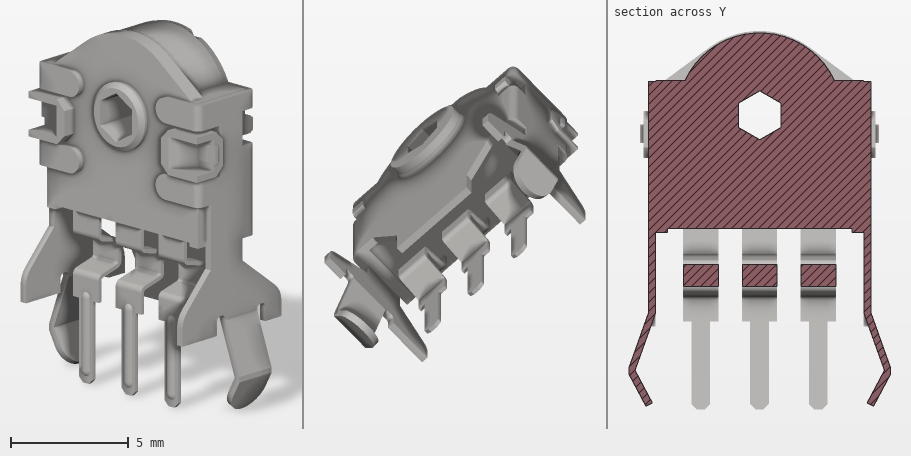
import cadquery as cq
import math


HEIGHT = 16.1
TOP_Z = 3.57
BOTTOM_Z = TOP_Z - HEIGHT

SHEET = 0.32
COVER_HALF_X = 4.73
COVER_INNER_X = COVER_HALF_X - SHEET
COVER_TOP_Z = 1.45
COVER_BOTTOM_Z = -4.99
COVER_BACK_Y = 3.22
BEND_RADIUS = 0.32
BACK_DOME_RADIUS = 3.46
DOME_NOTCH_X = (0.98, 1.15, 1.61)
TONGUE_ROOT_HALF_X = 3.41
TONGUE_HALF_X = 2.01
TONGUE_TAPER_HEIGHT = 2.42

WING_HEIGHT = 1.13
WING_END_X = 2.24
LOWER_WING_TOP_Z = -1.95
WINDOW_BACK_Y = 1.06
LOWER_SIDE_FRONT_Y = 0.45

FOOT_BOTTOM_Z = -8.98
FOOT_FRONT_Y = -1.29
FOOT_BACK_Y = 4.81
FOOT_CORNER_Z = -7.8
FOOT_CORNER_RADIUS = 1.0
WAIST_BACK_Y = 2.42
WAIST_BOTTOM_Z = -5.97
SLOT_TOP_Z = -8.15
SLOT_WIDTH = 0.5
SLOT_CORNER_RADIUS = 0.2
LEG_WIDTH = 1.98
LEG_CENTER_Y = 2.33
LEG_ROOT_Z = -8.39
LEG_OUTER_X = 5.57
LEG_ELBOW_TOP_Z = -10.74
LEG_ELBOW_BOTTOM_Z = -10.98
LEG_TIP_ANGLE = math.radians(28)

PLATE_THICKNESS = 0.72
HOUSING_BACK_Y = COVER_BACK_Y - SHEET
HOUSING_TOP_Z = 1.48
DOME_SHOULDER_X = 4.01
DRUM_RADIUS = 3.51
BASE_RECESS_HALF_X = 3.91
BASE_RECESS_Z = -4.81

HUB_RADIUS = 1.5
HUB_LENGTH = 0.4
HUB_CHAMFER = 0.21
BACK_HUB_RADIUS = 1.82
BACK_HUB_END_Y = 3.82
BACK_HUB_FLARE_RADIUS = 1.93
BACK_HUB_FLARE_LENGTH = 0.2
HEX_FRONT_FLATS = 1.88
HEX_BACK_FLATS = 1.69

CLIP_INNER_X = 2.82
CLIP_OUTER_X = 4.93
CLIP_FRONT_Y = -0.61
CLIP_BACK_Y = 1.01
CLIP_TOP_Z = 0.18
CLIP_BOTTOM_Z = -1.82
CLIP_CHAMFER = 0.43
CLIP_BAR = 0.29
CLIP_POCKET_X = (3.27, 4.09)
CLIP_POCKET_BACK_Y = 0.4
NUB_OUTER_X = 5.07
NUB_FRONT_Y = 0.37
NUB_BACK_Y = 0.55
NUB_TOP_Z = -0.4
NUB_BOTTOM_Z = -1.19

NOTCH_TOP_Z = 0.66
NOTCH_BOTTOM_Z = -0.93
HOOK_INNER_X = 3.83
HOOK_END_Y = 3.4
HOOK_TOP_Z = 0.23
HOOK_BOTTOM_Z = -0.56
HOOK_CHAMFER = 0.11

CONTACT_PITCH = 2.5
CONTACT_WIDTH = 1.5
CONTACT_THICKNESS = 0.18
CONTACT_FRONT_Y = 0.37
CONTACT_LOOP_Y = 1.69
CONTACT_TOP_Z = -4.02
LOOP_TOP_Z = -5.95
LOOP_BOTTOM_Z = -7.66
LOOP_SLOPE = 0.3
CONTACT_BEND_RADIUS = 0.29
CONTACT_SHOULDER_Z = -8.77
PIN_WIDTH = 0.79
PIN_BOTTOM_Z = -12.5
PIN_CHAMFER = 0.23
RIB_RADIUS = 0.32
RIB_HEIGHT = 0.13
RIB_END_RADIUS = 0.3
RIB_TOP_Z = -8.37
RIB_BOTTOM_Z = -12.22


def block(x0, x1, y0, y1, z0, z1):
    return cq.Workplane("XY").box(x1 - x0, y1 - y0, z1 - z0, centered=False).translate((x0, y0, z0))


def along_y(y0, y1):
    """XZ sketch plane at y0, with the distance that extrudes it to y1."""
    return cq.Workplane("XZ", origin=(0, y0, 0)), y0 - y1


def disc(radius, y0, y1, x=0, z=0):
    plane, depth = along_y(y0, y1)
    return plane.center(x, z).circle(radius).extrude(depth)


def front_profile(points, y0, y1):
    plane, depth = along_y(y0, y1)
    return plane.polyline(points).close().extrude(depth)


def side_profile(points, x0, x1):
    return cq.Workplane("YZ", origin=(x0, 0, 0)).polyline(points).close().extrude(x1 - x0)


def both_sides(shape):
    return shape.union(shape.mirror("YZ"))


def housing():
    body = block(-COVER_INNER_X, COVER_INNER_X, 0, HOUSING_BACK_Y, COVER_BOTTOM_Z, HOUSING_TOP_Z)
    recess = block(-BASE_RECESS_HALF_X, BASE_RECESS_HALF_X, 0, HOUSING_BACK_Y, COVER_BOTTOM_Z, BASE_RECESS_Z)
    hook_relief = block(
        HOOK_INNER_X, COVER_INNER_X, WAIST_BACK_Y, HOUSING_BACK_Y, NOTCH_BOTTOM_Z, HOOK_BOTTOM_Z
    )
    body = body.cut(recess).cut(both_sides(hook_relief))

    shoulder_distance = math.hypot(DOME_SHOULDER_X, HOUSING_TOP_Z)
    tangent_angle = math.atan2(HOUSING_TOP_Z, DOME_SHOULDER_X) + math.acos(TOP_Z / shoulder_distance)
    tangent_x = TOP_Z * math.cos(tangent_angle)
    tangent_z = TOP_Z * math.sin(tangent_angle)
    plane, depth = along_y(0, PLATE_THICKNESS)
    dome = (
        plane.moveTo(-DOME_SHOULDER_X, HOUSING_TOP_Z)
        .lineTo(-tangent_x, tangent_z)
        .threePointArc((0, TOP_Z), (tangent_x, tangent_z))
        .lineTo(DOME_SHOULDER_X, HOUSING_TOP_Z)
        .lineTo(DOME_SHOULDER_X, 0)
        .lineTo(-DOME_SHOULDER_X, 0)
        .close()
        .extrude(depth)
    )
    return body.union(dome).union(disc(DRUM_RADIUS, 0, HOUSING_BACK_Y))


def hub():
    front = disc(HUB_RADIUS, -HUB_LENGTH, 0).faces("<Y").chamfer(HUB_CHAMFER)
    back = disc(BACK_HUB_RADIUS, HOUSING_BACK_Y, BACK_HUB_END_Y)
    flare_end_y = COVER_BACK_Y + BACK_HUB_FLARE_LENGTH
    flare = (
        cq.Workplane("XY")
        .polyline([
            (0, COVER_BACK_Y),
            (BACK_HUB_FLARE_RADIUS, COVER_BACK_Y),
            (BACK_HUB_RADIUS, flare_end_y),
            (0, flare_end_y),
        ])
        .close()
        .revolve(360, (0, 0, 0), (0, 1, 0))
    )
    return front.union(back).union(flare)


def hex_bore():
    length = BACK_HUB_END_Y + HUB_LENGTH
    corner_per_flat = 1 / math.cos(math.pi / 6)
    return (
        cq.Workplane("XZ", origin=(0, BACK_HUB_END_Y, 0))
        .transformed(rotate=(0, 0, 30))
        .polygon(6, HEX_BACK_FLATS * corner_per_flat)
        .workplane(offset=length)
        .polygon(6, HEX_FRONT_FLATS * corner_per_flat)
        .loft(ruled=True)
    )


def clips():
    front_web = front_profile(
        [
            (CLIP_OUTER_X, CLIP_TOP_Z),
            (CLIP_INNER_X + CLIP_CHAMFER, CLIP_TOP_Z),
            (CLIP_INNER_X, CLIP_TOP_Z - CLIP_CHAMFER),
            (CLIP_INNER_X, CLIP_BOTTOM_Z + CLIP_CHAMFER),
            (CLIP_INNER_X + CLIP_CHAMFER, CLIP_BOTTOM_Z),
            (CLIP_OUTER_X, CLIP_BOTTOM_Z),
        ],
        CLIP_FRONT_Y,
        CLIP_BACK_Y - CLIP_CHAMFER,
    )
    side_web = side_profile(
        [
            (0, CLIP_TOP_Z),
            (CLIP_BACK_Y - CLIP_CHAMFER, CLIP_TOP_Z),
            (CLIP_BACK_Y, CLIP_TOP_Z - CLIP_CHAMFER),
            (CLIP_BACK_Y, CLIP_BOTTOM_Z + CLIP_CHAMFER),
            (CLIP_BACK_Y - CLIP_CHAMFER, CLIP_BOTTOM_Z),
            (0, CLIP_BOTTOM_Z),
        ],
        CLIP_POCKET_X[1],
        CLIP_OUTER_X,
    )
    return both_sides(front_web.union(side_web))


def clip_pockets():
    """Pockets open to the front corners, with a slanted inner wall."""
    floor_z = CLIP_BOTTOM_Z + CLIP_BAR
    pocket = (
        cq.Workplane("XY", origin=(0, 0, floor_z))
        .polyline([
            (CLIP_POCKET_X[0], CLIP_FRONT_Y),
            (CLIP_POCKET_X[1], CLIP_POCKET_BACK_Y),
            (CLIP_OUTER_X, CLIP_POCKET_BACK_Y),
            (CLIP_OUTER_X, CLIP_FRONT_Y),
        ])
        .close()
        .extrude(CLIP_TOP_Z - CLIP_BAR - floor_z)
    )
    return both_sides(pocket)


def clip_nubs():
    nub = block(CLIP_POCKET_X[1], NUB_OUTER_X, NUB_FRONT_Y, NUB_BACK_Y, NUB_BOTTOM_Z, NUB_TOP_Z)
    return both_sides(nub)


def rear_hooks():
    hook = side_profile(
        [
            (WAIST_BACK_Y, HOOK_TOP_Z),
            (COVER_BACK_Y, HOOK_TOP_Z),
            (HOOK_END_Y, HOOK_TOP_Z - HOOK_CHAMFER),
            (HOOK_END_Y, HOOK_BOTTOM_Z + HOOK_CHAMFER),
            (COVER_BACK_Y, HOOK_BOTTOM_Z),
            (WAIST_BACK_Y, HOOK_BOTTOM_Z),
        ],
        HOOK_INNER_X,
        COVER_INNER_X,
    )
    return both_sides(hook)


def cover_shell():
    """Folded box around the housing, reduced at the front to four round-ended wings."""
    shell = block(-COVER_HALF_X, COVER_HALF_X, -SHEET, COVER_BACK_Y, COVER_BOTTOM_Z, COVER_TOP_Z)
    shell = shell.edges("|Z").fillet(BEND_RADIUS)
    shell = shell.cut(block(-COVER_INNER_X, COVER_INNER_X, 0, HOUSING_BACK_Y, COVER_BOTTOM_Z, COVER_TOP_Z))

    wing_radius = WING_HEIGHT / 2
    wing_center_x = WING_END_X + wing_radius
    window_top_z = COVER_TOP_Z - WING_HEIGHT
    wings_bottom_z = LOWER_WING_TOP_Z - WING_HEIGHT
    shell = shell.cut(block(-wing_center_x, wing_center_x, -SHEET, 0, COVER_BOTTOM_Z, COVER_TOP_Z))
    front_openings = (
        (WINDOW_BACK_Y, LOWER_WING_TOP_Z, window_top_z),
        (LOWER_SIDE_FRONT_Y, COVER_BOTTOM_Z, wings_bottom_z),
    )
    for back_y, low_z, high_z in front_openings:
        shell = shell.cut(block(-COVER_HALF_X, COVER_HALF_X, -SHEET, back_y, low_z, high_z))
    for wing_top_z in (COVER_TOP_Z, LOWER_WING_TOP_Z):
        for side in (-1, 1):
            shell = shell.union(disc(wing_radius, -SHEET, 0, side * wing_center_x, wing_top_z - wing_radius))

    notch = block(HOOK_INNER_X, COVER_HALF_X, WAIST_BACK_Y, COVER_BACK_Y, NOTCH_BOTTOM_Z, NOTCH_TOP_Z)
    return shell.cut(both_sides(notch))


def back_dome():
    dome = disc(BACK_DOME_RADIUS, HOUSING_BACK_Y, COVER_BACK_Y)
    wall_top_x, wall_bottom_x, outer_x = DOME_NOTCH_X
    wall_top_z = math.sqrt(BACK_DOME_RADIUS**2 - wall_top_x**2)
    floor_z = math.sqrt(BACK_DOME_RADIUS**2 - outer_x**2)
    notch = front_profile(
        [
            (wall_bottom_x, floor_z),
            (outer_x, floor_z),
            (outer_x, TOP_Z),
            (wall_top_x, TOP_Z),
            (wall_top_x, wall_top_z),
        ],
        HOUSING_BACK_Y,
        COVER_BACK_Y,
    )
    return dome.cut(both_sides(notch))


def back_tongue():
    taper_end_z = COVER_BOTTOM_Z - TONGUE_TAPER_HEIGHT
    return front_profile(
        [
            (-TONGUE_ROOT_HALF_X, COVER_BOTTOM_Z),
            (TONGUE_ROOT_HALF_X, COVER_BOTTOM_Z),
            (TONGUE_HALF_X, taper_end_z),
            (TONGUE_HALF_X, FOOT_BOTTOM_Z),
            (-TONGUE_HALF_X, FOOT_BOTTOM_Z),
            (-TONGUE_HALF_X, taper_end_z),
        ],
        HOUSING_BACK_Y,
        COVER_BACK_Y,
    )


def feet():
    leg_front_y = LEG_CENTER_Y - LEG_WIDTH / 2
    leg_back_y = LEG_CENTER_Y + LEG_WIDTH / 2
    foot = side_profile(
        [
            (LOWER_SIDE_FRONT_Y, COVER_BOTTOM_Z),
            (LOWER_SIDE_FRONT_Y, WAIST_BOTTOM_Z),
            (FOOT_FRONT_Y, FOOT_CORNER_Z),
            (FOOT_FRONT_Y, FOOT_BOTTOM_Z),
            (FOOT_BACK_Y, FOOT_BOTTOM_Z),
            (FOOT_BACK_Y, FOOT_CORNER_Z),
            (WAIST_BACK_Y, WAIST_BOTTOM_Z),
            (WAIST_BACK_Y, COVER_BOTTOM_Z),
        ],
        COVER_INNER_X,
        COVER_HALF_X,
    )
    for corner_y in (FOOT_FRONT_Y, FOOT_BACK_Y):
        corner = cq.selectors.NearestToPointSelector((COVER_HALF_X - SHEET / 2, corner_y, FOOT_CORNER_Z))
        foot = foot.edges("|X").edges(corner).fillet(FOOT_CORNER_RADIUS)

    for slot_y in (leg_front_y - SLOT_WIDTH, leg_back_y):
        slot = block(COVER_INNER_X, COVER_HALF_X, slot_y, slot_y + SLOT_WIDTH, FOOT_BOTTOM_Z, SLOT_TOP_Z)
        foot = foot.cut(slot.edges("|X and >Z").fillet(SLOT_CORNER_RADIUS))
    foot = foot.cut(block(COVER_INNER_X, COVER_HALF_X, leg_front_y, leg_back_y, FOOT_BOTTOM_Z, LEG_ROOT_Z))
    return both_sides(foot)


def snap_legs():
    """Legs that slope outward to an elbow and end in a round tip bent back inward."""
    tip_length = (LEG_ELBOW_BOTTOM_Z - BOTTOM_Z) / math.cos(LEG_TIP_ANGLE)
    inward = (-math.cos(LEG_TIP_ANGLE), 0, math.sin(LEG_TIP_ANGLE))
    inner_elbow = (LEG_OUTER_X + SHEET * inward[0], LEG_ELBOW_BOTTOM_Z + SHEET * inward[2])
    tip_radius = LEG_WIDTH / 2

    slope = front_profile(
        [
            (COVER_INNER_X, LEG_ROOT_Z),
            (COVER_HALF_X, LEG_ROOT_Z),
            (LEG_OUTER_X, LEG_ELBOW_TOP_Z),
            (LEG_OUTER_X, LEG_ELBOW_BOTTOM_Z),
            inner_elbow,
        ],
        LEG_CENTER_Y - tip_radius,
        LEG_CENTER_Y + tip_radius,
    )
    tip_plane = cq.Plane(
        origin=(LEG_OUTER_X, LEG_CENTER_Y, LEG_ELBOW_BOTTOM_Z),
        xDir=(0, 1, 0),
        normal=inward,
    )
    straight = tip_length - tip_radius
    tip = (
        cq.Workplane(tip_plane)
        .moveTo(-tip_radius, 0)
        .lineTo(tip_radius, 0)
        .lineTo(tip_radius, straight)
        .threePointArc((0, tip_length), (-tip_radius, straight))
        .close()
        .extrude(SHEET)
    )
    return both_sides(slope.union(tip))


def contact_loop():
    """Strip that folds backward below the housing and forward again above the pin."""
    half = CONTACT_THICKNESS / 2
    path_y = CONTACT_FRONT_Y + half
    slope_angle = math.atan2(LOOP_SLOPE, CONTACT_LOOP_Y - path_y)
    miter = half * math.tan(math.pi / 4 - slope_angle / 2)
    front_edge = [
        (path_y - half, CONTACT_TOP_Z),
        (path_y - half, LOOP_TOP_Z - miter),
        (CONTACT_LOOP_Y - half, LOOP_TOP_Z - LOOP_SLOPE - miter),
        (CONTACT_LOOP_Y - half, LOOP_BOTTOM_Z + LOOP_SLOPE + miter),
        (path_y - half, LOOP_BOTTOM_Z + miter),
        (path_y - half, CONTACT_SHOULDER_Z),
    ]
    back_edge = [
        (path_y + half, CONTACT_SHOULDER_Z),
        (path_y + half, LOOP_BOTTOM_Z - miter),
        (CONTACT_LOOP_Y + half, LOOP_BOTTOM_Z + LOOP_SLOPE - miter),
        (CONTACT_LOOP_Y + half, LOOP_TOP_Z - LOOP_SLOPE + miter),
        (path_y + half, LOOP_TOP_Z + miter),
        (path_y + half, CONTACT_TOP_Z),
    ]
    strip = side_profile(front_edge + back_edge, -CONTACT_WIDTH / 2, CONTACT_WIDTH / 2)

    inner_radius = CONTACT_BEND_RADIUS - CONTACT_THICKNESS
    bends = (
        (front_edge[1], CONTACT_BEND_RADIUS),
        (front_edge[2], inner_radius),
        (front_edge[3], inner_radius),
        (front_edge[4], CONTACT_BEND_RADIUS),
        (back_edge[1], inner_radius),
        (back_edge[2], CONTACT_BEND_RADIUS),
        (back_edge[3], CONTACT_BEND_RADIUS),
        (back_edge[4], inner_radius),
    )
    for corner, radius in bends:
        nearest = cq.selectors.NearestToPointSelector((0, *corner))
        strip = strip.edges("|X").edges(nearest).fillet(radius)
    return strip


def contact_pin():
    """Flat pin with a chamfered end and a round-ended rib raised on its front."""
    back_y = CONTACT_FRONT_Y + CONTACT_THICKNESS
    pin = block(-PIN_WIDTH / 2, PIN_WIDTH / 2, CONTACT_FRONT_Y, back_y, PIN_BOTTOM_Z, CONTACT_SHOULDER_Z)
    pin = pin.edges("|Y and <Z").chamfer(PIN_CHAMFER)

    rib_center_y = CONTACT_FRONT_Y - RIB_HEIGHT + RIB_RADIUS
    rib_length = RIB_TOP_Z - RIB_BOTTOM_Z
    rib = (
        cq.Workplane("XY", origin=(0, rib_center_y, RIB_BOTTOM_Z))
        .circle(RIB_RADIUS)
        .extrude(rib_length)
        .faces("<Z or >Z")
        .edges()
        .fillet(RIB_END_RADIUS)
    )
    front_half = block(-RIB_RADIUS, RIB_RADIUS, rib_center_y - RIB_RADIUS, back_y, RIB_BOTTOM_Z, RIB_TOP_Z)
    return pin.union(rib.intersect(front_half))


def contacts():
    single = contact_loop().union(contact_pin())
    row = single
    for side in (-1, 1):
        row = row.union(single.translate((side * CONTACT_PITCH, 0, 0)))
    return row


result = (
    housing()
    .union(hub())
    .union(cover_shell())
    .union(back_dome())
    .union(back_tongue())
    .union(feet())
    .union(snap_legs())
    .union(clips())
    .cut(clip_pockets())
    .union(clip_nubs())
    .union(rear_hooks())
    .union(contacts())
    .cut(hex_bore())
)